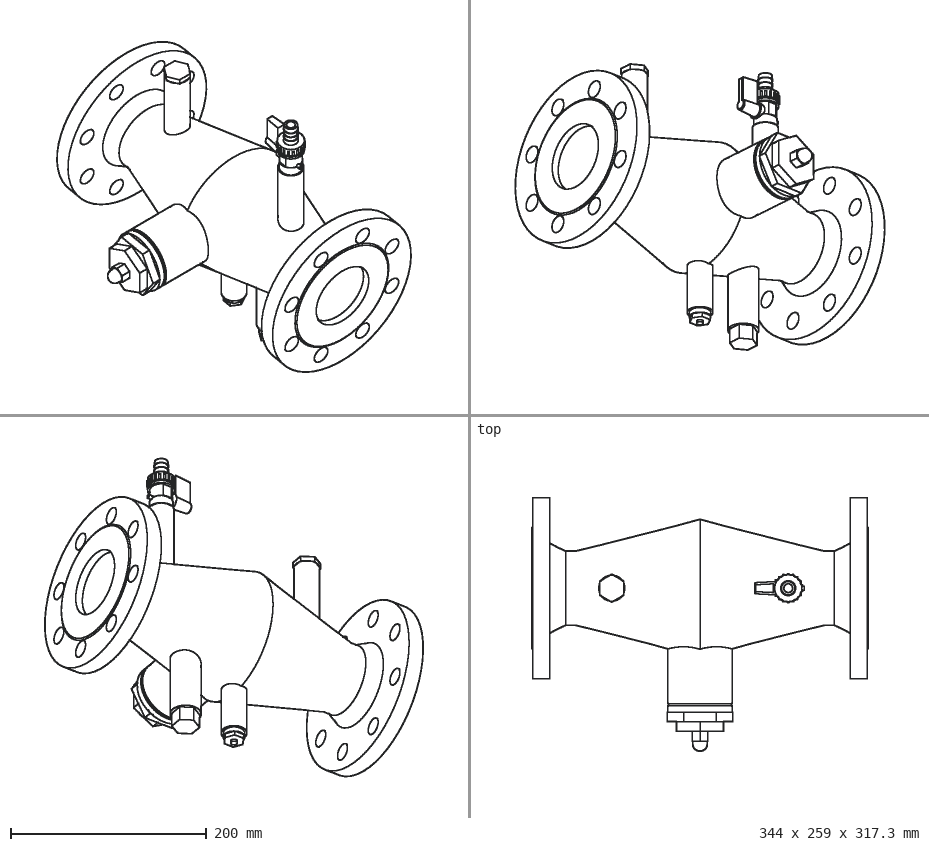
import cadquery as cq
import math

length = 344.0
flange_d = 185.0
flange_thickness = 17.5
raised_face_height = 1.0
raised_face_base_d = 125.2
raised_face_d = 121.8
neck_base_d = 92.2
pipe_d = 76.0
pipe_outer_x = 137.3
pipe_inner_x = 127.0
belly_d = 141.0
bore_d = 70.2
bore_depth = 8.3

bolt_count = 8
bolt_hole_d = 18.0
bolt_circle_d = 144.8

stub_d = 26.5
top_stub_x = 90.0
top_stub_z = 121.0
bottom_stub_z = -120.0
drain_stub_x = 60.0
drain_stub_d = 31.5

hex_turn = 30

plug_flats = 24.8
vent_plug_height = 6.0
drain_plug_height = 15.8

test_plug_d = 22.0
test_plug_height = 5.0
test_hex_height = 4.8
test_tip_d = 7.0
test_tip_height = 2.5

bonnet_d = 66.0
bonnet_groove_d = 64.0
bonnet_pipe_y = -118.0
bonnet_groove_y = -120.0
bonnet_ring_y = -127.0
large_hex_flats = 58.0
large_hex_y = -136.2
small_hex_flats = 48.0
small_hex_y = -146.2
spindle_flats = 16.0
spindle_y = -156.2
dome_d = 15.0
dome_tip_y = -166.5

cock_stub_z = 122.0
collar_d = 24.0
collar_z = 132.0
cock_body_d = 23.5
cock_flats = 21.5
cock_body_z = 146.5
rim_d = 28.0
rim_z = 149.3
cock_neck_d = 24.8
cock_neck_z = 151.0
rib_z = 157.2
nut_z = 160.0
rib_d = 2.0
rib_count = 18
barb_d = 15.0
barb_tip_d = 13.8
barb_count = 4
barb_top_z = 181.5
barb_bore_d = 9.0

spindle_boss_d = 17.0
spindle_boss_offset = 13.5
lever_axis_z = 137.3
lever_inner_offset = 15.0
lever_length = 19.3
lever_hub_d = 13.5
lever_thickness = 9.0
lever_top_z = 168.5
lever_draft = 3.0
lever_chamfer = 1.0
pin_d = 4.0
pin_offset = 16.0
pin_z = 132.8


def rod_z(x, diameter, z_start, z_end):
    """Vertical cylinder at (x, 0) between two heights."""
    return cq.Workplane("XY", (x, 0, z_start)).circle(diameter / 2).extrude(z_end - z_start)


def rod_y(diameter, y_start, y_end):
    """Cylinder along the Y axis, running from y_start towards -Y."""
    return cq.Workplane("XZ", (0, y_start, 0)).circle(diameter / 2).extrude(y_start - y_end)


def rod_x(diameter, x_start, x_end, z):
    """Cylinder parallel to X at height z."""
    return cq.Workplane("YZ", (x_start, 0, z)).circle(diameter / 2).extrude(x_end - x_start)


def hexagon(plane, flats, height, turn=0):
    """Hexagonal prism on a workplane; its corners lie on local X unless turned."""
    corner_d = flats / math.cos(math.pi / 6)
    return plane.transformed(rotate=(0, 0, turn)).polygon(6, corner_d).extrude(height)


def run_pipe():
    end_x = length / 2
    flange_outer_x = end_x - raised_face_height
    flange_inner_x = flange_outer_x - flange_thickness
    half = (
        cq.Workplane("XZ")
        .moveTo(0, 0)
        .lineTo(0, belly_d / 2)
        .lineTo(pipe_inner_x, pipe_d / 2)
        .lineTo(pipe_outer_x, pipe_d / 2)
        .lineTo(flange_inner_x, neck_base_d / 2)
        .lineTo(flange_inner_x, flange_d / 2)
        .lineTo(flange_outer_x, flange_d / 2)
        .lineTo(flange_outer_x, raised_face_base_d / 2)
        .lineTo(end_x, raised_face_d / 2)
        .lineTo(end_x, 0)
        .close()
        .revolve(360, (0, 0, 0), (1, 0, 0))
    )
    bore = rod_x(bore_d, end_x - bore_depth, end_x, 0)
    bolt_holes = (
        cq.Workplane("YZ", (flange_inner_x, 0, 0))
        .polarArray(bolt_circle_d / 2, 180 / bolt_count, 360, bolt_count)
        .circle(bolt_hole_d / 2)
        .extrude(flange_thickness)
    )
    half = half.cut(bore).cut(bolt_holes)
    return half.union(half.mirror("YZ"))


def vent():
    stub = rod_z(-top_stub_x, stub_d, 0, top_stub_z)
    plug_plane = cq.Workplane("XY", (-top_stub_x, 0, top_stub_z))
    return stub.union(hexagon(plug_plane, plug_flats, vent_plug_height, hex_turn))


def drain():
    stub = rod_z(drain_stub_x, drain_stub_d, bottom_stub_z, 0)
    plug_plane = cq.Workplane("XY", (drain_stub_x, 0, bottom_stub_z))
    return stub.union(hexagon(plug_plane, plug_flats, -drain_plug_height, hex_turn))


def test_point():
    plug_z = bottom_stub_z - test_plug_height
    hex_z = plug_z - test_hex_height
    hex_flats = test_plug_d * math.cos(math.pi / 6)
    return (
        rod_z(0, stub_d, bottom_stub_z, 0)
        .union(rod_z(0, test_plug_d, plug_z, bottom_stub_z))
        .union(hexagon(cq.Workplane("XY", (0, 0, plug_z)), hex_flats, -test_hex_height))
        .union(rod_z(0, test_tip_d, hex_z - test_tip_height, hex_z))
    )


def bonnet():
    large_plane = cq.Workplane("XZ", (0, bonnet_ring_y, 0))
    large_hex = hexagon(large_plane, large_hex_flats, bonnet_ring_y - large_hex_y)
    small_plane = cq.Workplane("XZ", (0, large_hex_y, 0))
    small_hex = hexagon(small_plane, small_hex_flats, large_hex_y - small_hex_y, hex_turn)
    spindle_plane = cq.Workplane("XZ", (0, small_hex_y, 0))
    spindle = hexagon(spindle_plane, spindle_flats, small_hex_y - spindle_y, hex_turn)
    dome_y = dome_tip_y + dome_d / 2
    dome = cq.Workplane("XY").sphere(dome_d / 2).translate((0, dome_y, 0))
    return (
        rod_y(bonnet_d, 0, bonnet_pipe_y)
        .union(rod_y(bonnet_groove_d, bonnet_pipe_y, bonnet_groove_y))
        .union(rod_y(bonnet_d, bonnet_groove_y, bonnet_ring_y))
        .union(large_hex)
        .union(small_hex)
        .union(spindle)
        .union(rod_y(dome_d, spindle_y, dome_y))
        .union(dome)
    )


def hose_barb():
    """Hose tail of stacked cones, each widest at its lower edge."""
    pitch = (barb_top_z - nut_z) / barb_count
    profile = cq.Workplane("XZ", (top_stub_x, 0, 0)).moveTo(0, nut_z)
    for step in range(barb_count):
        base_z = nut_z + step * pitch
        profile = profile.lineTo(barb_d / 2, base_z).lineTo(barb_tip_d / 2, base_z + pitch)
    barb = profile.lineTo(0, barb_top_z).close().revolve(360, (0, 0, 0), (0, 1, 0))
    return barb.cut(rod_z(top_stub_x, barb_bore_d, nut_z, barb_top_z))


def union_nut():
    ribs = (
        cq.Workplane("XY", (top_stub_x, 0, cock_neck_z))
        .polarArray(rim_d / 2, 90, 360, rib_count)
        .circle(rib_d / 2)
        .extrude(rib_z - cock_neck_z)
    )
    return rod_z(top_stub_x, rim_d, cock_neck_z, nut_z).union(ribs)


def cock_body():
    """Stub, collar, body with flats facing -Y and +Y, and rim below the union nut."""
    flatted = rod_z(top_stub_x, cock_body_d, collar_z, cock_body_z).intersect(
        cq.Workplane("XY", (top_stub_x, 0, collar_z))
        .rect(cock_body_d, cock_flats)
        .extrude(cock_body_z - collar_z)
    )
    return (
        rod_z(top_stub_x, stub_d, 0, cock_stub_z)
        .union(rod_z(top_stub_x, collar_d, cock_stub_z, collar_z))
        .union(flatted)
        .union(rod_z(top_stub_x, rim_d, cock_body_z, rim_z))
        .union(rod_z(top_stub_x, cock_neck_d, rim_z, cock_neck_z))
    )


def lever():
    """Flat handle above a round hub, both narrowing slightly towards -X."""
    inner_x = top_stub_x - lever_inner_offset
    blade_height = lever_top_z - lever_axis_z
    hub = (
        cq.Workplane("YZ", (inner_x, 0, lever_axis_z))
        .circle(lever_hub_d / 2)
        .extrude(-lever_length, taper=lever_draft)
    )
    blade = (
        cq.Workplane("YZ", (inner_x, 0, lever_axis_z + blade_height / 2))
        .rect(lever_thickness, blade_height)
        .extrude(-lever_length, taper=lever_draft)
    )
    handle = hub.union(blade).faces("<X").edges().chamfer(lever_chamfer)
    boss = rod_x(spindle_boss_d, top_stub_x - spindle_boss_offset, top_stub_x, lever_axis_z)
    root = rod_x(lever_hub_d, inner_x, top_stub_x, lever_axis_z)
    pin = rod_x(pin_d, top_stub_x, top_stub_x + pin_offset, pin_z)
    return handle.union(boss).union(root).union(pin)


result = (
    run_pipe()
    .union(vent())
    .union(drain())
    .union(test_point())
    .union(bonnet())
    .union(cock_body())
    .union(union_nut())
    .union(hose_barb())
    .union(lever())
)